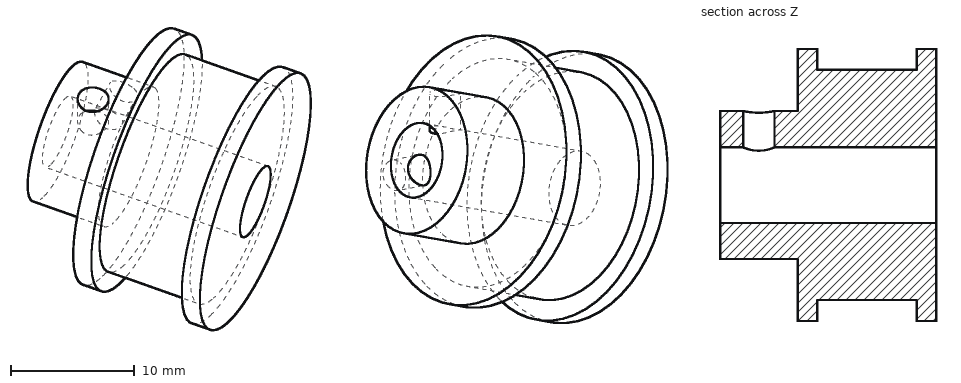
import cadquery as cq

flange_diameter = 22.0
flange_width = 1.6
barrel_diameter = 18.65
barrel_width = 8.0
hub_diameter = 12.0
hub_length = 6.27
bore_diameter = 6.1
screw_hole_diameter = 2.5

barrel_start = hub_length + flange_width
outer_flange_start = barrel_start + barrel_width
total_length = outer_flange_start + flange_width
screw_hole_position = hub_length / 2


def disc(start, length, diameter):
    """Cylinder on the X axis beginning at the given axial position."""
    return cq.Workplane("YZ", origin=(start, 0, 0)).circle(diameter / 2).extrude(length)


def screw_hole(direction):
    """Radial cutter from the pulley axis out through one side of the hub wall."""
    return cq.Workplane(
        cq.Solid.makeCylinder(
            screw_hole_diameter / 2,
            hub_diameter,
            cq.Vector(screw_hole_position, 0, 0),
            cq.Vector(*direction),
        )
    )


pulley = disc(0, hub_length, hub_diameter)
for flange_start in (hub_length, outer_flange_start):
    pulley = pulley.union(disc(flange_start, flange_width, flange_diameter))
pulley = pulley.union(disc(barrel_start, barrel_width, barrel_diameter))

pulley = pulley.cut(disc(0, total_length, bore_diameter))

for direction in ((0, 0, 1), (0, 1, 0)):
    pulley = pulley.cut(screw_hole(direction))

result = pulley